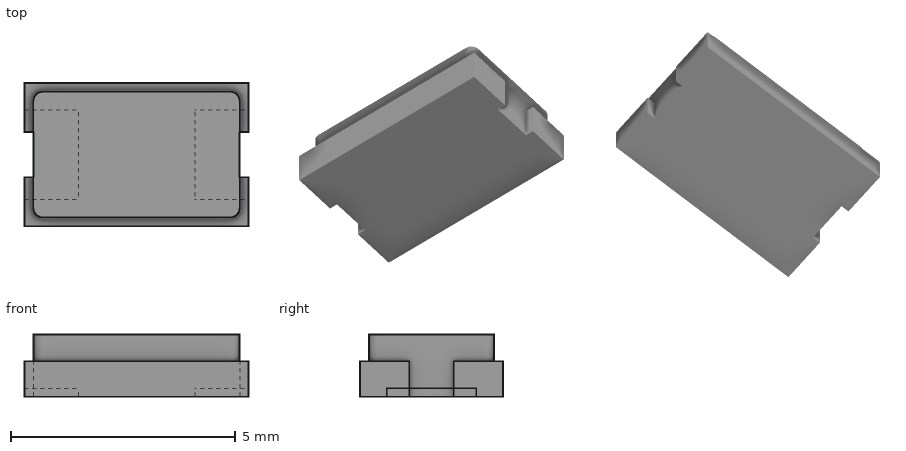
import cadquery as cq

base_length = 5.0
base_width = 3.2
base_height = 0.8

lid_margin = 0.2
lid_height = 0.6
lid_corner_radius = 0.2
lid_length = base_length - 2 * lid_margin
lid_width = base_width - 2 * lid_margin

notch_width = 1.0
notch_depth = lid_margin

terminal_width = 2.0
terminal_length = 1.2
terminal_thickness = 0.2

end_sides = (-1, 1)


def end_block(side, length, width, height):
    """Block on the ground plane, flush with the base end on the given side of X."""
    centre_x = side * (base_length - length) / 2
    return (
        cq.Workplane("XY")
        .center(centre_x, 0)
        .rect(length, width)
        .extrude(height)
    )


def make_notch(side):
    """Full-height gap cut into one end of the base."""
    return end_block(side, notch_depth, notch_width, base_height)


def make_terminal(side):
    """U-shaped contact pad that follows the end notch."""
    pad = end_block(side, terminal_length, terminal_width, terminal_thickness)
    return pad.cut(make_notch(side))


def make_lid():
    """Raised top with rounded vertical corners."""
    return (
        cq.Workplane("XY")
        .workplane(offset=base_height)
        .rect(lid_length, lid_width)
        .extrude(lid_height)
        .edges("|Z")
        .fillet(lid_corner_radius)
    )


def make_housing(terminals):
    """Notched base and lid in one piece, with recesses that fit the terminals."""
    base = cq.Workplane("XY").rect(base_length, base_width).extrude(base_height)
    for side in end_sides:
        base = base.cut(make_notch(side))
    body = base.union(make_lid()).clean()
    for terminal in terminals:
        body = body.cut(terminal)
    return body


terminals = [make_terminal(side) for side in end_sides]
housing = make_housing(terminals)

result = cq.Compound.makeCompound(
    [housing.solids().val(), *[terminal.solids().val() for terminal in terminals]]
)